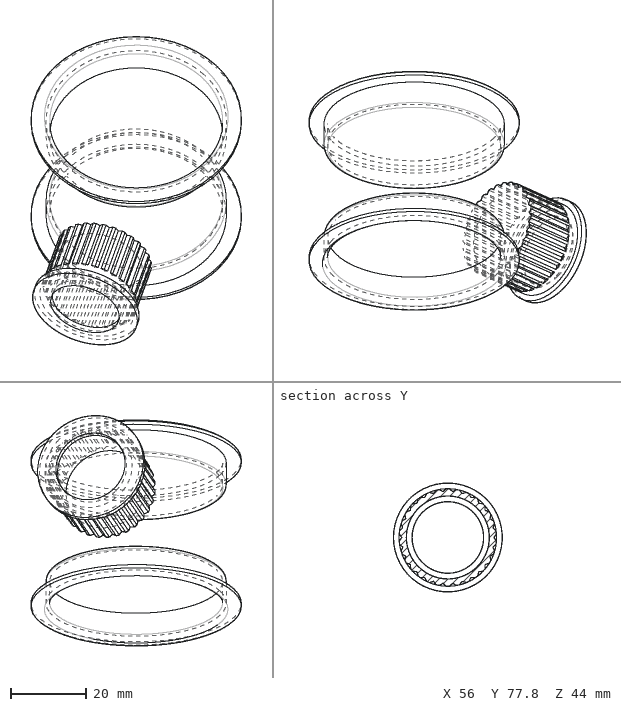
import cadquery as cq
import math

overall_height = 44.0
rim_diameter = 56.0
cup_diameter = 48.0
cup_bore_diameter = 46.0
wall = (cup_diameter - cup_bore_diameter) / 2
rim_edge_height = 0.9
bead_height = 1.0
bead_inner_fillet = 2.0
cup_side_depth = 9.0
dome_rise = 1.0
cup_corner_fillet = wall

overall_depth = 77.75
knob_length = 19.05
knob_flange_diameter = 29.0
knob_flange_thickness = 1.8
knob_diameter = 26.0
collar_length = 3.1
mouth_diameter = 19.0
bore_diameter = 22.0
knob_end_wall = (knob_diameter - bore_diameter) / 2
flute_count = 30
flute_width = 1.9
flute_wall_tilt = 35.0

rim_radius = rim_diameter / 2
cup_radius = cup_diameter / 2
cup_bore_radius = cup_bore_diameter / 2


def round_circle(body, radius, z, fillet):
    """Fillet the horizontal circular edge that has this radius and height."""
    tolerance = 0.01

    def is_wanted(edge):
        return abs(edge.radius() - radius) < tolerance and abs(edge.Center().z - z) < tolerance

    return body.edges("%CIRCLE").filter(is_wanted).fillet(fillet)


def make_lid():
    """Upper lid: a revolved cup with its rim crest at z = overall_height / 2."""
    crest_z = overall_height / 2
    bead_base_z = crest_z - bead_height
    rim_under_z = bead_base_z - rim_edge_height
    dome_foot_z = crest_z - cup_side_depth
    dome_radius = (cup_radius**2 + dome_rise**2) / (2 * dome_rise)
    dome_tip_z = dome_foot_z - dome_rise

    dome_centre_z = dome_tip_z + dome_radius
    floor_radius = dome_radius - wall

    def sphere_z(radius, r):
        return dome_centre_z - math.sqrt(radius**2 - r**2)

    bead_crest_radius = (rim_radius + cup_bore_radius) / 2
    half_cup = cup_radius / 2
    half_bore = cup_bore_radius / 2
    lid = (
        cq.Workplane("XZ")
        .moveTo(0, dome_tip_z)
        .threePointArc((half_cup, sphere_z(dome_radius, half_cup)), (cup_radius, dome_foot_z))
        .lineTo(cup_radius, rim_under_z)
        .lineTo(rim_radius, rim_under_z)
        .lineTo(rim_radius, bead_base_z)
        .threePointArc((bead_crest_radius, crest_z), (cup_bore_radius, bead_base_z))
        .lineTo(cup_bore_radius, sphere_z(floor_radius, cup_bore_radius))
        .threePointArc((half_bore, sphere_z(floor_radius, half_bore)), (0, dome_tip_z + wall))
        .close()
        .revolve(360, (0, 0), (0, 1))
    )
    lid = round_circle(lid, cup_radius, dome_foot_z, cup_corner_fillet)
    return round_circle(lid, cup_bore_radius, bead_base_z, bead_inner_fillet)


def make_knob():
    """Hollow knob with a front flange, a plain collar and V-shaped flutes."""
    front_y = rim_radius - overall_depth
    front = cq.Workplane("XZ", origin=(0, front_y, 0))
    knob = front.circle(knob_flange_diameter / 2).extrude(-knob_flange_thickness)
    knob = knob.union(front.circle(knob_diameter / 2).extrude(-knob_length))

    mouth = front.circle(mouth_diameter / 2).extrude(-knob_flange_thickness)
    bore = front.workplane(offset=-knob_flange_thickness).circle(bore_diameter / 2)
    bore = bore.extrude(-(knob_length - knob_flange_thickness - knob_end_wall))
    knob = knob.cut(mouth).cut(bore)
    return knob.cut(make_flutes(front_y))


def make_flutes(front_y):
    """Triangular cutters around the knob, from the collar to its far end."""
    flute_start = knob_flange_thickness + collar_length
    skin_radius = knob_diameter / 2
    half_width = flute_width / 2
    slope = math.tan(math.radians(flute_wall_tilt))
    top_radius = math.sqrt(skin_radius**2 - half_width**2)
    root_radius = top_radius - half_width * slope
    clearance = 0.8
    outer_radius = top_radius + clearance * slope
    cutter = (
        cq.Workplane("XZ", origin=(0, front_y + flute_start, 0))
        .polyline([
            (0, root_radius),
            (half_width + clearance, outer_radius),
            (-half_width - clearance, outer_radius),
        ])
        .close()
        .extrude(flute_start - knob_length)
        .val()
    )
    pitch = 360 / flute_count
    first_angle = pitch / 2
    return cq.Compound.makeCompound([
        cutter.rotate(cq.Vector(0, 0, 0), cq.Vector(0, 1, 0), first_angle + i * pitch)
        for i in range(flute_count)
    ])


upper_lid = make_lid()
lower_lid = upper_lid.mirror("XY")
knob = make_knob()

result = cq.Compound.makeCompound([upper_lid.val(), lower_lid.val(), knob.val()])